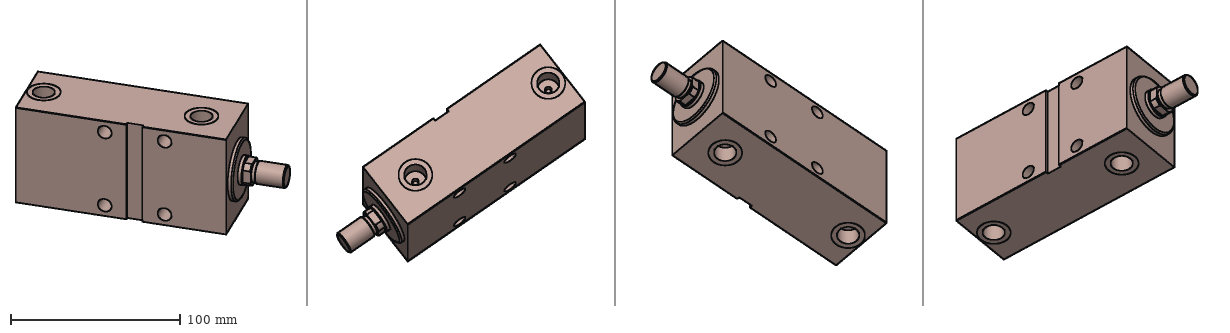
import cadquery as cq


total_length = 161.0
housing_length = 130.1
housing_width = 45.0
housing_height = 65.0
edge_chamfer = 0.3

slot_start = 68.5
slot_width = 10.0
slot_depth = 2.0

mount_hole_diameter = 8.5
mount_hole_xs = (55.0, 92.1)
mount_hole_z = 25.0

port_xs = (10.5, 108.0)
spotface_diameter = 20.0
spotface_depth = 0.2
port_diameter = 13.2
port_depth = 12.0
oil_hole_diameter = 4.0

bore_diameter = 32.0
bore_start = 6.5

gland_start = 99.8
flange_diameter = 38.3
flange_thickness = 3.0
flange_chamfer = 1.0

piston_length = 24.2
rod_diameter = 18.0
wrench_diameter = 17.0
across_flats = 15.0
shoulder_start = 135.4
shoulder_end = 135.9
rod_end = 140.7
rod_end_chamfer = 0.3

neck_diameter = 12.5
thread_diameter = 14.0
thread_start = 142.8
thread_lead_in = 0.5
tip_chamfer = 0.6


def cylinder_x(diameter, start, end):
    """Solid cylinder on the X axis between two X positions."""
    return cq.Workplane("YZ", origin=(start, 0, 0)).circle(diameter / 2).extrude(end - start)


def make_port(x):
    """Stepped cutter for an oil port that runs from the top face to the axis."""
    top = housing_height / 2
    steps = (
        (spotface_diameter, spotface_depth),
        (port_diameter, port_depth),
        (oil_hole_diameter, top),
    )
    cutter = cq.Workplane("XY")
    for diameter, depth in steps:
        step = cq.Workplane("XY", origin=(x, 0, top - depth)).circle(diameter / 2).extrude(depth)
        cutter = cutter.add(step)
    return cutter.combine()


def make_housing():
    body = cq.Workplane("XY").box(
        housing_length, housing_width, housing_height, centered=(False, True, True)
    )
    body = body.edges("|X").chamfer(edge_chamfer)

    slot = cq.Workplane("XY", origin=(slot_start, -housing_width / 2, 0)).box(
        slot_width, 2 * slot_depth, housing_height, centered=(False, True, True)
    )
    body = body.cut(slot)

    hole_centres = [(x, z) for x in mount_hole_xs for z in (-mount_hole_z, mount_hole_z)]
    mount_holes = (
        cq.Workplane("XZ")
        .pushPoints(hole_centres)
        .circle(mount_hole_diameter / 2)
        .extrude(housing_width / 2, both=True)
    )
    body = body.cut(mount_holes)

    for x in port_xs:
        port = make_port(x)
        body = body.cut(port).cut(port.mirror("XY"))

    return body.cut(cylinder_x(bore_diameter, bore_start, housing_length))


def make_gland():
    """Sleeve that guides the rod, with a flange against the housing end."""
    flange_end = housing_length + flange_thickness
    flange = cylinder_x(flange_diameter, housing_length, flange_end)
    flange = flange.faces(">X").edges().chamfer(flange_chamfer)
    sleeve = cylinder_x(bore_diameter, gland_start, housing_length)
    rod_hole = cylinder_x(rod_diameter, gland_start, flange_end)
    return sleeve.union(flange).cut(rod_hole)


def make_rod():
    """Piston and rod, with four wrench flats at the outer end."""
    profile = [
        (bore_start, 0),
        (bore_start, bore_diameter / 2),
        (bore_start + piston_length, bore_diameter / 2),
        (bore_start + piston_length, rod_diameter / 2),
        (shoulder_start, rod_diameter / 2),
        (shoulder_end, wrench_diameter / 2),
        (rod_end - rod_end_chamfer, wrench_diameter / 2),
        (rod_end, wrench_diameter / 2 - rod_end_chamfer),
        (rod_end, 0),
    ]
    rod = cq.Workplane("XY").polyline(profile).close().revolve(360, (0, 0, 0), (1, 0, 0))

    flats_length = rod_end - shoulder_end
    flats_middle = shoulder_end + flats_length / 2
    square = cq.Workplane("XY", origin=(flats_middle, 0, 0)).box(
        flats_length, across_flats, across_flats
    )
    waste = cylinder_x(rod_diameter, shoulder_end, rod_end).cut(square)
    return rod.cut(waste)


def make_stud():
    """Stud with a thread undercut, on the end of the rod."""
    profile = [
        (rod_end, 0),
        (rod_end, neck_diameter / 2),
        (thread_start, neck_diameter / 2),
        (thread_start + thread_lead_in, thread_diameter / 2),
        (total_length - tip_chamfer, thread_diameter / 2),
        (total_length, thread_diameter / 2 - tip_chamfer),
        (total_length, 0),
    ]
    return cq.Workplane("XY").polyline(profile).close().revolve(360, (0, 0, 0), (1, 0, 0))


housing = make_housing()
gland = make_gland()
rod = make_rod()
stud = make_stud()

result = cq.Compound.makeCompound([housing.val(), gland.val(), rod.val(), stud.val()])